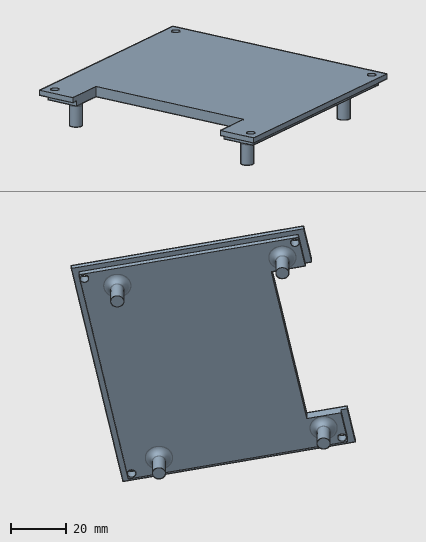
import cadquery as cq

length = 94.0
width = 86.0
height = 14.4

cover_thickness = 2.0
step_thickness = 2.0
step_inset_x = 2.0
step_inset_y = 2.35
step_corner_radius = 0.5

notch_side_margin = 14.7
notch_depth = 14.9

hole_diameter = 3.1
hole_inset = 4.0

post_diameter = 4.8
flare_radius = 2.5
left_post_inset = 9.4
front_right_post_inset = 9.5
back_right_post_inset = 8.7
front_post_inset = 9.8
back_post_inset = 15.1

half_length = length / 2
half_width = width / 2
step_top = height - cover_thickness
step_bottom = step_top - step_thickness
post_radius = post_diameter / 2

left_x = left_post_inset - half_length
front_y = front_post_inset - half_width
back_y = half_width - back_post_inset
post_positions = [
    (left_x, front_y),
    (left_x, back_y),
    (half_length - front_right_post_inset, front_y),
    (half_length - back_right_post_inset, back_y),
]


def make_slab(size_x, size_y, bottom, thickness):
    """Rectangular slab centred in X and Y."""
    return cq.Workplane("XY").workplane(offset=bottom).rect(size_x, size_y).extrude(thickness)


def make_post(x, y):
    """Revolved post whose flare ends tangent to the shaft and to the step."""
    flare_start = step_bottom - flare_radius
    flare_outer = post_radius + flare_radius
    flare_diagonal = flare_radius * 0.5 ** 0.5
    flare_middle = (flare_outer - flare_diagonal, flare_start + flare_diagonal)
    return (
        cq.Workplane("XZ")
        .lineTo(post_radius, 0)
        .lineTo(post_radius, flare_start)
        .threePointArc(flare_middle, (flare_outer, step_bottom))
        .lineTo(flare_outer, step_top)
        .lineTo(0, step_top)
        .close()
        .revolve(360, (0, 0, 0), (0, 1, 0))
        .translate((x, y, 0))
    )


cover = make_slab(length, width, step_top, cover_thickness)
step = make_slab(
    length - 2 * step_inset_x, width - 2 * step_inset_y, step_bottom, step_thickness
).edges("|Z").fillet(step_corner_radius)

result = cover.union(step)
for post_x, post_y in post_positions:
    result = result.union(make_post(post_x, post_y))

notch = (
    cq.Workplane("XY")
    .box(length - 2 * notch_side_margin, notch_depth, height, centered=(True, False, False))
    .translate((0, -half_width, 0))
)
result = result.cut(notch)

holes = (
    cq.Workplane("XY")
    .workplane(offset=step_bottom)
    .rect(length - 2 * hole_inset, width - 2 * hole_inset, forConstruction=True)
    .vertices()
    .circle(hole_diameter / 2)
    .extrude(cover_thickness + step_thickness)
)
result = result.cut(holes)